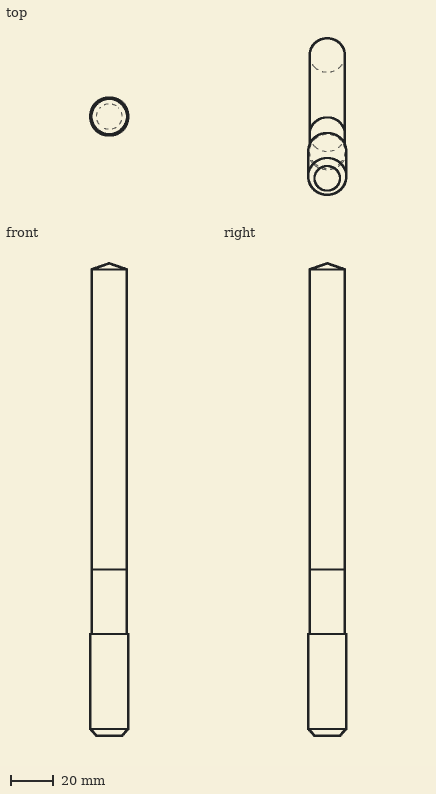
import cadquery as cq
import math

total_length = 222.0
shank_length = 48.0
holder_length = 78.1

shank_diameter = 18.0
body_diameter = 16.6
shank_end_diameter = 12.0

shank_chamfer_height = 3.3
point_angle = 142.0

shank_radius = shank_diameter / 2
body_radius = body_diameter / 2
shank_end_radius = shank_end_diameter / 2
point_height = body_radius / math.tan(math.radians(point_angle / 2))


def revolve_about_z(profile):
    """Turn a closed (radius, height) outline into a solid around the Z axis."""
    axis_start = (0, 0)
    axis_end = (0, 1)
    return cq.Workplane("XZ").polyline(profile).close().revolve(360, axis_start, axis_end)


def make_holder():
    """Chamfered shank with a narrower neck, ending in a flat joint face."""
    return revolve_about_z([
        (0, 0),
        (shank_end_radius, 0),
        (shank_radius, shank_chamfer_height),
        (shank_radius, shank_length),
        (body_radius, shank_length),
        (body_radius, holder_length),
        (0, holder_length),
    ])


def make_tip_rod():
    """Plain rod standing on the joint face, with a shallow conical point."""
    return revolve_about_z([
        (0, holder_length),
        (body_radius, holder_length),
        (body_radius, total_length - point_height),
        (0, total_length),
    ])


holder = make_holder()
tip_rod = make_tip_rod()

result = cq.Compound.makeCompound([holder.val(), tip_rod.val()])